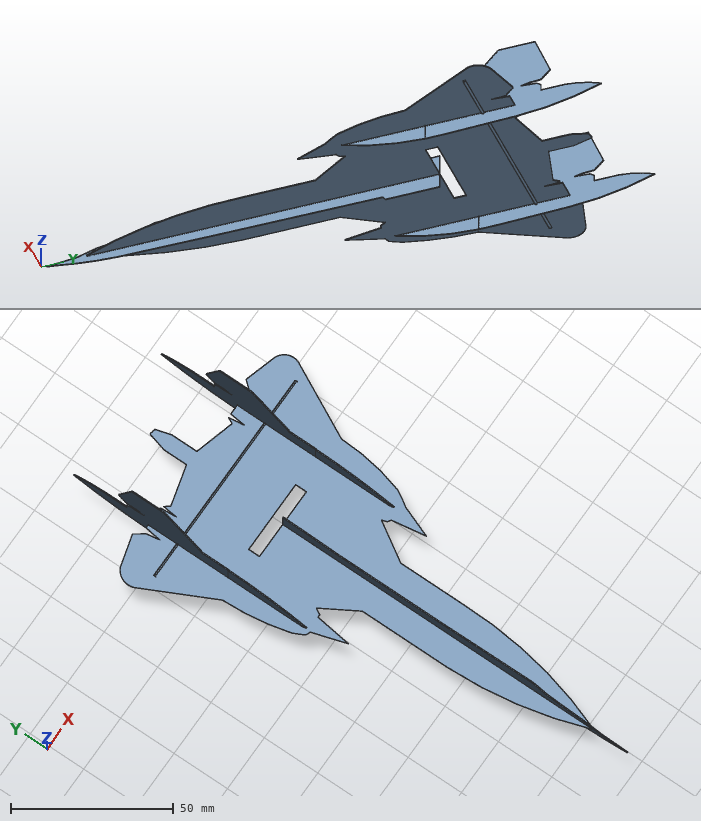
import cadquery as cq


LENGTH = 191.0
HEIGHT = 28.3
SHEET = 0.4

NACELLE_X = 23.7
JOINT_Y = 133.1
NACELLE_TOP_Z = 7.6
BOTTOM_Z = -5.2
FIN_TOP_Z = BOTTOM_Z + HEIGHT

WINDOW_WIDTH = 25.4
WINDOW_LENGTH = 4.0
KEEL_BACK_Y = JOINT_Y - WINDOW_LENGTH

SPAR_DIAMETER = 0.9
SPAR_Y = 152.0
SPAR_Z = -SHEET / 2
SPAR_LEFT_X = -36.3
SPAR_RIGHT_X = 40.3


def upright_sheet(outline, x):
    """Extrude an outline in Y and Z to one sheet thickness, centred on x."""
    return outline.extrude(SHEET / 2, both=True).translate((x, 0, 0))


def make_spar():
    """Round cross rod sunk into the wing sheet from below."""
    return (
        cq.Workplane("YZ", origin=(SPAR_LEFT_X, 0, 0))
        .center(SPAR_Y, SPAR_Z)
        .circle(SPAR_DIAMETER / 2)
        .extrude(SPAR_RIGHT_X - SPAR_LEFT_X)
    )


def make_keel():
    """Fuselage profile from the wing window to the nose, with a raised canopy."""
    outline = (
        cq.Workplane("YZ")
        .moveTo(KEEL_BACK_Y, BOTTOM_Z)
        .lineTo(KEEL_BACK_Y, 7.0)
        .threePointArc((120.3, 6.7), (108.9, 6.0))
        .lineTo(68.8, 6.0)
        .threePointArc((51.5, 6.5), (36.0, 6.9))
        .lineTo(34.0, 6.3)
        .lineTo(30.5, 4.4)
        .lineTo(25.4, 3.2)
        .lineTo(16.6, 2.1)
        .lineTo(9.7, 0.2)
        .lineTo(0, -0.5)
        .lineTo(2.9, -1.0)
        .threePointArc((11.5, -2.3), (23.5, -3.2))
        .lineTo(53.5, -3.6)
        .lineTo(110.4, -4.0)
        .lineTo(111.4, BOTTOM_Z)
        .close()
    )
    return upright_sheet(outline, 0)


def make_nacelle_front(x):
    """Pointed intake half of a nacelle."""
    outline = (
        cq.Workplane("YZ")
        .moveTo(JOINT_Y, BOTTOM_Z)
        .lineTo(JOINT_Y, 7.3)
        .threePointArc((117.7, 5.5), (103.9, 1.1))
        .lineTo(106.0, -0.2)
        .threePointArc((119.4, -3.6), (JOINT_Y, BOTTOM_Z))
        .close()
    )
    return upright_sheet(outline, x)


def make_nacelle_rear(x, spar, wing):
    """Tail half of a nacelle with its fin, drilled for the spar and slotted to slide onto the wing."""
    outline = (
        cq.Workplane("YZ")
        .moveTo(JOINT_Y, BOTTOM_Z)
        .lineTo(JOINT_Y, NACELLE_TOP_Z)
        .lineTo(143.2, NACELLE_TOP_Z)
        .lineTo(143.5, 8.5)
        .lineTo(157.2, FIN_TOP_Z)
        .lineTo(169.2, FIN_TOP_Z)
        .lineTo(174.2, 10.7)
        .lineTo(171.1, NACELLE_TOP_Z)
        .lineTo(167.3, 7.5)
        .lineTo(164.6, 6.9)
        .lineTo(169.8, 6.5)
        .lineTo(171.1, 5.5)
        .lineTo(171.1, 3.5)
        .lineTo(179.2, 3.5)
        .threePointArc((185.3, 2.5), (LENGTH, 0.5))
        .threePointArc((178.4, -2.9), (163.1, -4.5))
        .lineTo(139.8, BOTTOM_Z)
        .close()
    )
    return upright_sheet(outline, x).cut(spar).cut(wing)


def make_wing(crossing_bodies):
    """Wing and fuselage sheet, cut through by the bodies that cross it."""
    wing = (
        cq.Workplane("XY")
        .moveTo(0.5, 179.3)
        .lineTo(2.7, 179.0)
        .lineTo(4.2, 173.6)
        .lineTo(4.2, 164.3)
        .lineTo(17.8, 160.5)
        .lineTo(18.7, 162.5)
        .lineTo(19.5, 157.0)
        .lineTo(20.0, 162.5)
        .lineTo(28.3, 162.5)
        .lineTo(28.8, 156.8)
        .lineTo(29.2, 161.8)
        .lineTo(31.9, 165.0)
        .lineTo(42.2, 162.0)
        .threePointArc((45.8, 158.5), (45.3, 154.1))
        .lineTo(32.9, 129.9)
        .threePointArc((31.9, 117.7), (29.2, 106.4))
        .lineTo(27.5, 103.3)
        .lineTo(26.0, 101.0)
        .lineTo(22.0, 90.5)
        .lineTo(20.0, 102.4)
        .lineTo(19.0, 103.1)
        .lineTo(18.3, 104.9)
        .lineTo(10.3, 92.0)
        .lineTo(10.3, 68.8)
        .threePointArc((7.0, 35.5), (0, 12.6))
        .threePointArc((-6.1, 33.6), (-9.2, 61.1))
        .lineTo(-9.2, 93.0)
        .lineTo(-16.5, 105.2)
        .lineTo(-17.5, 103.1)
        .lineTo(-18.5, 103.1)
        .lineTo(-20.2, 90.5)
        .lineTo(-23.9, 102.4)
        .lineTo(-25.4, 103.0)
        .lineTo(-27.3, 106.8)
        .threePointArc((-29.8, 118.5), (-30.8, 130.5))
        .lineTo(-43.0, 155.3)
        .threePointArc((-42.8, 159.5), (-40.1, 162.4))
        .lineTo(-29.0, 165.5)
        .lineTo(-26.5, 162.0)
        .lineTo(-25.8, 157.4)
        .lineTo(-25.0, 163.1)
        .lineTo(-17.2, 163.1)
        .lineTo(-16.8, 157.4)
        .lineTo(-16.2, 162.5)
        .lineTo(-14.9, 160.8)
        .lineTo(-1.1, 164.5)
        .lineTo(-1.1, 172.9)
        .close()
        .extrude(SHEET / 2, both=True)
    )
    window = cq.Workplane("XY").box(WINDOW_WIDTH, WINDOW_LENGTH, SHEET)
    wing = wing.cut(window.translate((0, JOINT_Y - WINDOW_LENGTH / 2, 0)))
    for body in crossing_bodies:
        wing = wing.cut(body)
    return wing


nacelle_places = (-NACELLE_X, NACELLE_X)
spar = make_spar()
keel = make_keel()
nacelle_fronts = [make_nacelle_front(x) for x in nacelle_places]
wing = make_wing([spar, keel, *nacelle_fronts])
nacelle_rears = [make_nacelle_rear(x, spar, wing) for x in nacelle_places]

result = cq.Compound.makeCompound([
    wing.val(),
    spar.val(),
    keel.val(),
    *[front.val() for front in nacelle_fronts],
    *[rear.val() for rear in nacelle_rears],
])